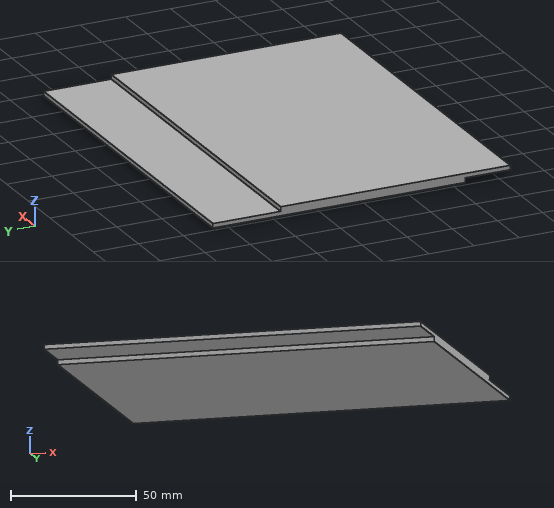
import cadquery as cq

width = 156.5
depth = 132.0
thickness = 4.0

layer_thickness = thickness / 2
rear_lap = 30.0
front_lap = 20.0


def layer(y_start, y_end, z_bottom):
    """Full-width rectangular layer between two Y positions."""
    return (
        cq.Workplane("XY")
        .box(width, y_end - y_start, layer_thickness, centered=(True, False, False))
        .translate((0, y_start, z_bottom))
    )


front_edge = -depth / 2
rear_edge = depth / 2

lower_layer = layer(front_edge + front_lap, rear_edge, 0)
upper_layer = layer(front_edge, rear_edge - rear_lap, layer_thickness)

result = lower_layer.union(upper_layer)